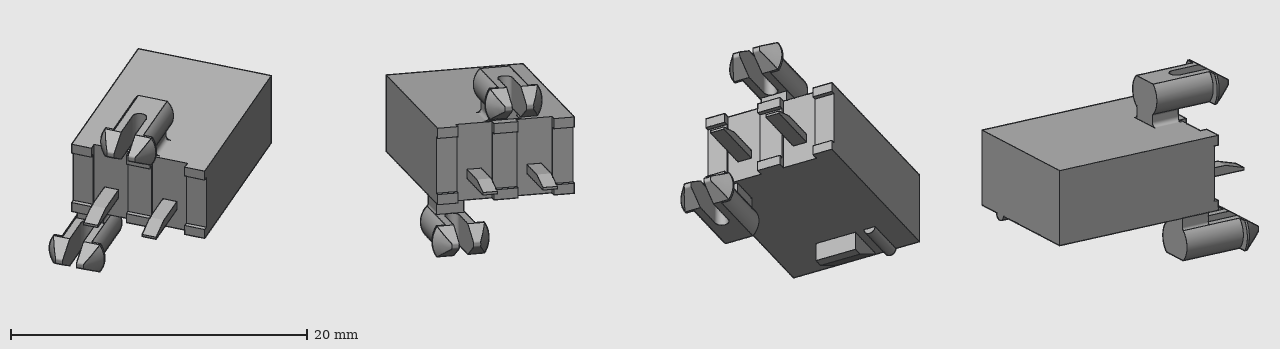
import cadquery as cq
import math

overall_length = 16.3
body_width = 9.6
body_length = 12.8
body_height = 5.4
half_width = body_width / 2
half_height = body_height / 2

pitch = 4.2
contact_x = (-pitch / 2, pitch / 2)
recess_width = 2.51
recess_depth = 0.5
groove_depth = 0.31
lug_height = 0.72

blade_width = 1.01
blade_thickness = 0.64
blade_height_above_base = 1.53
blade_bottom_z = blade_height_above_base - half_height
blade_tip_y = body_length - overall_length
blade_taper_length = 1.5
blade_tip_thickness = 0.18

peg_thickness = 2.17
shank_radius = 1.5
barb_radius = 1.99
tip_radius = 1.01
barb_land = 0.16
peg_rear_y = 2.8
barb_rear_y = -1.75
cone_rear_y = barb_rear_y - barb_land
peg_tip_y = -3.3
tip_thickness = 0.36
tip_fillet = 0.18
slot_width = 1.0
slot_end_y = 0.73

neck_width = 1.9
neck_height = 0.91
neck_front_y = 0.72
peg_fillet = 0.23
body_fillet = 0.31
peg_z = half_height + neck_height + peg_thickness / 2
lower_peg_x = -3.72

latch_width = 3.0
latch_length = 3.05
latch_flat = 0.67
latch_height = 1.39
key_x = 2.58
key_radius = 0.42


def box(x_min, x_max, y_min, y_max, z_min, z_max):
    """Box given by its limits along each axis."""
    size = (x_max - x_min, y_max - y_min, z_max - z_min)
    return cq.Workplane("XY").box(*size, centered=False).translate((x_min, y_min, z_min))


def side_extrusion(points, width, center_x):
    """Outline of (y, z) points, extruded along X about center_x."""
    outline = cq.Workplane("YZ").polyline(points).close()
    return outline.extrude(width / 2, both=True).translate((center_x, 0, 0))


def make_housing():
    housing = box(-half_width, half_width, 0, body_length, -half_height, half_height)
    groove_top = half_height - lug_height
    housing = housing.cut(box(-half_width, half_width, 0, groove_depth, -groove_top, groove_top))
    for x in contact_x:
        left = x - recess_width / 2
        right = x + recess_width / 2
        housing = housing.cut(box(left, right, 0, recess_depth, -half_height, half_height))
    return housing


def make_contact(center_x):
    taper_y = blade_tip_y + blade_taper_length
    outline = [
        (recess_depth, blade_bottom_z),
        (recess_depth, blade_bottom_z + blade_thickness),
        (taper_y, blade_bottom_z + blade_thickness),
        (blade_tip_y, blade_bottom_z + blade_tip_thickness),
        (blade_tip_y, blade_bottom_z),
    ]
    return side_extrusion(outline, blade_width, center_x)


def make_peg():
    """Peg along Y, with its axis at x = 0, z = 0."""
    turned = (
        cq.Workplane("XY")
        .moveTo(0, peg_rear_y)
        .lineTo(shank_radius, peg_rear_y)
        .lineTo(shank_radius, barb_rear_y)
        .lineTo(barb_radius, barb_rear_y)
        .lineTo(barb_radius, cone_rear_y)
        .lineTo(tip_radius, peg_tip_y)
        .lineTo(0, peg_tip_y)
        .close()
        .revolve(360, (0, 0, 0), (0, 1, 0))
    )
    half_peg = peg_thickness / 2
    half_tip = tip_thickness / 2
    side_outline = [
        (peg_rear_y, half_peg),
        (cone_rear_y, half_peg),
        (peg_tip_y, half_tip),
        (peg_tip_y, -half_tip),
        (cone_rear_y, -half_peg),
        (peg_rear_y, -half_peg),
    ]
    wedge = side_extrusion(side_outline, 2 * barb_radius, 0)
    wedge = wedge.faces("<Y").edges("|X").fillet(tip_fillet)
    peg = turned.intersect(wedge)

    slot_center_y = slot_end_y - slot_width / 2
    slot = box(-slot_width / 2, slot_width / 2, peg_tip_y, slot_center_y, -half_peg, half_peg)
    round_end = cq.Workplane("XY").circle(slot_width / 2).extrude(half_peg, both=True)
    return peg.cut(slot).cut(round_end.translate((0, slot_center_y, 0)))


def flare(face_z, arc_radius, arc_offset):
    """Concave fillets on both neck walls, their arcs centred arc_offset from the plane z = face_z."""
    wall_x = neck_width / 2
    arc_x = wall_x + arc_radius
    arc_z = face_z + arc_offset
    block = box(-arc_x, arc_x, neck_front_y, peg_rear_y, min(face_z, arc_z), max(face_z, arc_z))
    rear_plane = cq.Workplane("XZ", origin=(0, peg_rear_y, 0))
    arcs = rear_plane.pushPoints([(-arc_x, arc_z), (arc_x, arc_z)]).circle(arc_radius)
    return block.cut(arcs.extrude(peg_rear_y - neck_front_y))


def make_neck():
    """Neck rising from z = 0 to a peg, with its upper fillets tangent to the round peg shank."""
    half_neck = neck_width / 2
    neck = box(-half_neck, half_neck, neck_front_y, peg_rear_y, 0, neck_height)
    arc_to_axis_z = math.sqrt((shank_radius + peg_fillet) ** 2 - (half_neck + peg_fillet) ** 2)
    arc_offset = peg_thickness / 2 - arc_to_axis_z
    return neck.union(flare(neck_height, peg_fillet, arc_offset))


def make_latch():
    bottom_z = -half_height - latch_height
    latch_front_y = body_length - latch_length
    outline = [
        (body_length, -half_height),
        (latch_front_y, -half_height),
        (latch_front_y, bottom_z),
        (latch_front_y + latch_flat, bottom_z),
    ]
    return side_extrusion(outline, latch_width, 0)


def make_key_rib():
    """Round bar along Y, its lower half showing below the housing."""
    rear_plane = cq.Workplane("XZ", origin=(key_x, body_length, -half_height))
    return rear_plane.circle(key_radius).extrude(latch_length)


housing = make_housing()
peg = make_peg()
neck = make_neck()
upper_neck = neck.union(flare(0, body_fillet, body_fillet)).translate((0, 0, half_height))
lower_neck = neck.mirror("XY").translate((lower_peg_x, 0, -half_height))

result = housing.union(upper_neck).union(peg.translate((0, 0, peg_z)))
result = result.union(lower_neck).union(peg.translate((lower_peg_x, 0, -peg_z)))
for x in contact_x:
    result = result.union(make_contact(x))
result = result.union(make_latch()).union(make_key_rib())